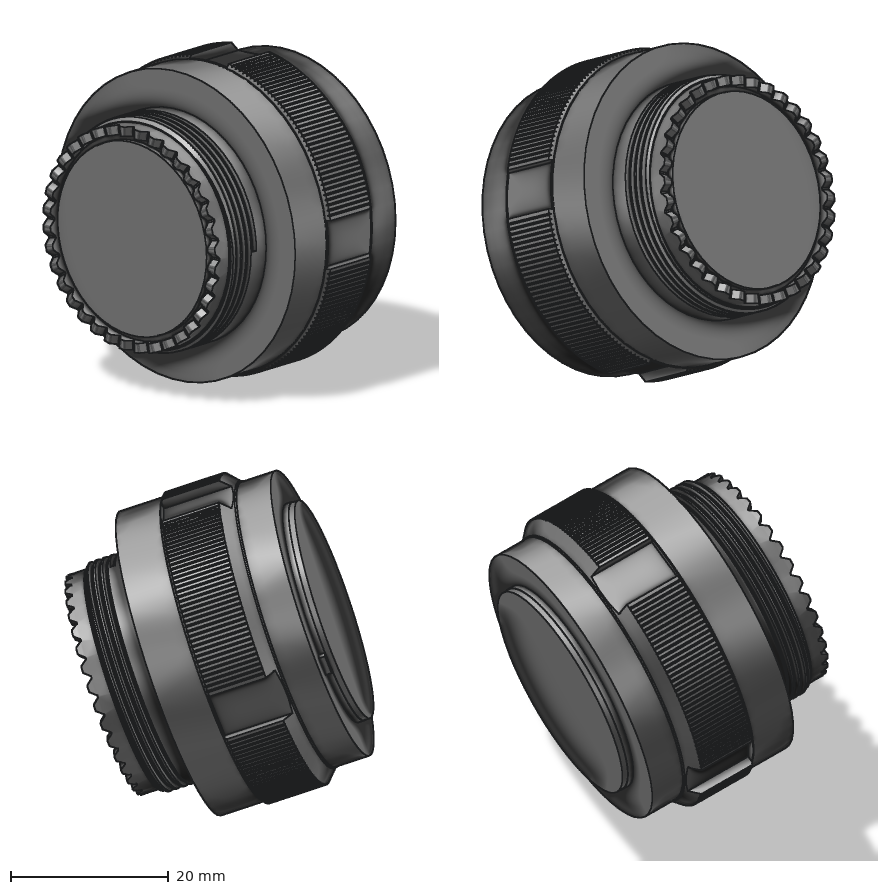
import cadquery as cq
import math

TOOTH_DEPTH = 0.85
DISC_FRONT = 0.55
TRENCH_FLOOR = 1.4
COLLAR_BACK = 2.6
THREAD_CHAMFER_BACK = 3.2
FLANGE_FRONT = 8.9
FLANGE_BACK = 14.9
KNURL_FRONT = 15.3
KNURL_BACK = 22.95
CONE_BACK = 24.55
BEAD_BACK = 24.8
REAR_RING_BACK = 29.4
SPIGOT_STEP = 30.2
OVERALL_LENGTH = 31.0

DISC_RADIUS = 12.75
TRENCH_RADIUS = 13.5
COLLAR_RADIUS = 14.73
THREAD_NOSE_RADIUS = 14.85
BARREL_RADIUS = 15.4
FLANGE_RADIUS = 20.38
KNURL_RADIUS = 20.85
KNURL_CHAMFER = 0.6
BEAD_RADIUS = 19.2
REAR_RING_RADIUS = 19.07
SPIGOT_RADIUS = 14.65
SPIGOT_TIP_RADIUS = 14.58

TOOTH_COUNT = 36
TOOTH_GAP_MOUTH = 1.7
TOOTH_TIP_ROUND = 0.2
TOOTH_GAP_ROOT = 0.25

THREAD_PITCH = 1.0
THREAD_TURNS = 4.5
THREAD_START = 2.2
THREAD_DEPTH = 0.5
THREAD_GROOVE_MOUTH = 0.7
THREAD_GROOVE_ROOT = 0.2

PAD_COUNT = 4
PAD_WIDTH = 6.4
PAD_FRONT = 15.05
PAD_HEIGHT = 19.3
KNURL_SPACES = 39
KNURL_GROOVE_WIDTH = 0.22
KNURL_GROOVE_DEPTH = 0.2

KEY_WIDTH = 2.5
KEY_REACH = 15.7
KEY_EMBED = 1.0

CUT_MARGIN = 0.3


def around_axis(shape, angle):
    """Turn a shape about the connector axis by an angle in degrees."""
    return shape.rotate(cq.Vector(0, 0, 0), cq.Vector(0, 1, 0), angle)


def turned_body():
    outline = [
        (0, DISC_FRONT),
        (DISC_RADIUS, DISC_FRONT),
        (DISC_RADIUS, TRENCH_FLOOR),
        (TRENCH_RADIUS, TRENCH_FLOOR),
        (TRENCH_RADIUS, 0),
        (COLLAR_RADIUS, 0),
        (COLLAR_RADIUS, COLLAR_BACK),
        (THREAD_NOSE_RADIUS, COLLAR_BACK),
        (BARREL_RADIUS, THREAD_CHAMFER_BACK),
        (BARREL_RADIUS, FLANGE_FRONT),
        (FLANGE_RADIUS, FLANGE_FRONT),
        (FLANGE_RADIUS, FLANGE_BACK),
        (KNURL_RADIUS - KNURL_CHAMFER, FLANGE_BACK),
        (KNURL_RADIUS, KNURL_FRONT),
        (KNURL_RADIUS, KNURL_BACK),
        (BEAD_RADIUS, CONE_BACK),
        (BEAD_RADIUS, BEAD_BACK),
        (REAR_RING_RADIUS, BEAD_BACK),
        (REAR_RING_RADIUS, REAR_RING_BACK),
        (SPIGOT_RADIUS, REAR_RING_BACK),
        (SPIGOT_RADIUS, SPIGOT_STEP),
        (SPIGOT_TIP_RADIUS, SPIGOT_STEP),
        (SPIGOT_TIP_RADIUS, OVERALL_LENGTH),
        (0, OVERALL_LENGTH),
    ]
    return cq.Workplane("XY").polyline(outline).close().revolve(360, (0, 0, 0), (0, 1, 0))


def tooth_gaps():
    """Radial trapezoidal gaps, rounded at the tips, that leave the ring of front teeth."""
    inner_radius = (DISC_RADIUS + TRENCH_RADIUS) / 2
    outer_radius = COLLAR_RADIUS + CUT_MARGIN
    half_mouth = TOOTH_GAP_MOUTH / 2
    half_root = TOOTH_GAP_ROOT / 2
    half_lip = half_mouth + TOOTH_TIP_ROUND
    gap = (
        cq.Workplane("XY")
        .workplane(offset=inner_radius)
        .moveTo(-half_lip, -CUT_MARGIN)
        .lineTo(half_lip, -CUT_MARGIN)
        .lineTo(half_lip, 0)
        .lineTo(half_mouth, 0)
        .lineTo(half_root, TOOTH_DEPTH)
        .lineTo(-half_root, TOOTH_DEPTH)
        .lineTo(-half_mouth, 0)
        .lineTo(-half_lip, 0)
        .close()
        .extrude(outer_radius - inner_radius)
    )
    mid_radius = (inner_radius + outer_radius) / 2
    for side in (-1, 1):
        tip_edge = cq.NearestToPointSelector((side * half_mouth, 0, mid_radius))
        gap = gap.edges("|Z").edges(tip_edge).fillet(TOOTH_TIP_ROUND)
    return [around_axis(gap.val(), i * 360 / TOOTH_COUNT) for i in range(TOOTH_COUNT)]


def thread_groove():
    """Right-hand helical groove, built along Z from the -X side and then laid along Y."""
    root_radius = BARREL_RADIUS - THREAD_DEPTH
    mouth_radius = BARREL_RADIUS + CUT_MARGIN
    flank_slope = (THREAD_GROOVE_MOUTH - THREAD_GROOVE_ROOT) / 2 / THREAD_DEPTH
    half_root = THREAD_GROOVE_ROOT / 2
    half_mouth = THREAD_GROOVE_MOUTH / 2 + flank_slope * CUT_MARGIN
    helix = cq.Wire.makeHelix(THREAD_PITCH, THREAD_PITCH * THREAD_TURNS, root_radius)
    groove = (
        cq.Workplane("XZ")
        .moveTo(root_radius, -half_root)
        .lineTo(mouth_radius, -half_mouth)
        .lineTo(mouth_radius, half_mouth)
        .lineTo(root_radius, half_root)
        .close()
        .sweep(cq.Workplane(obj=helix), isFrenet=True)
    )
    return (
        groove.rotate((0, 0, 0), (0, 0, 1), 180)
        .rotate((0, 0, 0), (1, 0, 0), -90)
        .translate((0, THREAD_START, 0))
    )


def pad_cuts():
    """Blocks that mill the flat pads into the coupling ring and its rear cone."""
    length = CONE_BACK - PAD_FRONT
    height = KNURL_RADIUS + CUT_MARGIN - PAD_HEIGHT
    block = cq.Workplane("XY").box(PAD_WIDTH, length, height, centered=(True, False, False))
    block = block.translate((0, PAD_FRONT, PAD_HEIGHT)).val()
    return [around_axis(block, i * 360 / PAD_COUNT) for i in range(PAD_COUNT)]


def knurl_grooves():
    """V grooves at equal angles between each pad edge and the next."""
    half_width_at_margin = KNURL_GROOVE_WIDTH / 2 * (1 + CUT_MARGIN / KNURL_GROOVE_DEPTH)
    groove = (
        cq.Workplane("XZ", origin=(0, FLANGE_BACK, 0))
        .moveTo(0, KNURL_RADIUS - KNURL_GROOVE_DEPTH)
        .lineTo(half_width_at_margin, KNURL_RADIUS + CUT_MARGIN)
        .lineTo(-half_width_at_margin, KNURL_RADIUS + CUT_MARGIN)
        .close()
        .extrude(FLANGE_BACK - KNURL_BACK)
        .val()
    )
    pad_edge_angle = math.degrees(math.asin(PAD_WIDTH / 2 / KNURL_RADIUS))
    quadrant = 360 / PAD_COUNT
    step = (quadrant - 2 * pad_edge_angle) / KNURL_SPACES
    grooves = []
    for pad in range(PAD_COUNT):
        for i in range(1, KNURL_SPACES):
            grooves.append(around_axis(groove, pad * quadrant + pad_edge_angle + i * step))
    return grooves


def rear_key():
    """Block standing out from the -Z side of the spigot, against the rear ring."""
    inner_reach = SPIGOT_RADIUS - KEY_EMBED
    length = SPIGOT_STEP - REAR_RING_BACK
    height = KEY_REACH - inner_reach
    return (
        cq.Workplane("XY")
        .box(KEY_WIDTH, length, height, centered=(True, False, False))
        .translate((0, REAR_RING_BACK, -KEY_REACH))
    )


body = turned_body().cut(thread_groove()).union(rear_key())
cutters = tooth_gaps() + pad_cuts() + knurl_grooves()
result = cq.Workplane(obj=body.val().cut(*cutters))